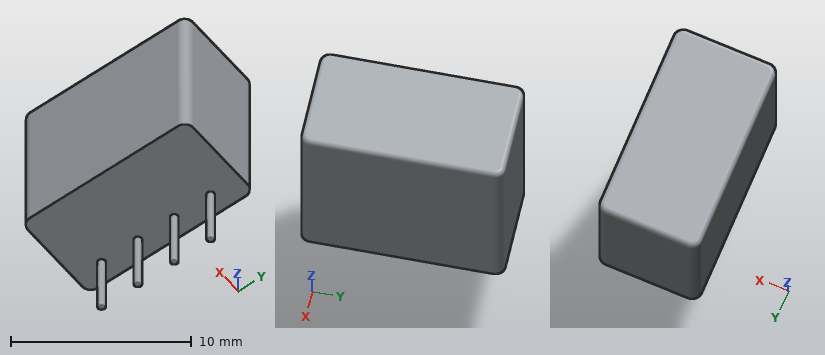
import cadquery as cq

body_width = 6.1
body_length = 11.53
total_height = 14.1
body_height = 10.0
corner_radius = 0.59
top_rim_radius = 0.3

pin_diameter = 0.5
pin_length = total_height - body_height
pin_tip_radius = 0.1
pin_count = 4
pin_pitch = 2.54
pin_row_x = -1.8
pin_row_center_y = -0.11


def make_body():
    block = cq.Workplane("XY").box(body_width, body_length, body_height, centered=(True, True, False))
    return block.edges("|Z").fillet(corner_radius).faces(">Z").edges().fillet(top_rim_radius)


def make_pin(y):
    pin = cq.Workplane("XY").center(pin_row_x, y).circle(pin_diameter / 2).extrude(-pin_length)
    return pin.faces("<Z").edges().fillet(pin_tip_radius)


result = make_body()
first_pin_y = pin_row_center_y - pin_pitch * (pin_count - 1) / 2
for index in range(pin_count):
    result = result.union(make_pin(first_pin_y + index * pin_pitch))